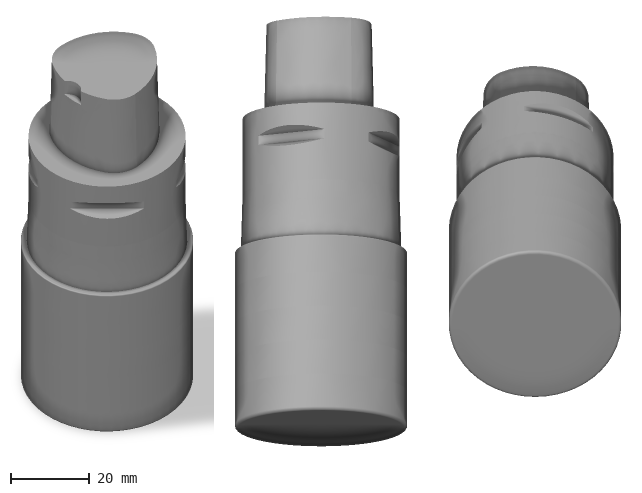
import cadquery as cq
import math

TAPER_LENGTH = 24.0
TAPER_WIDTH = 28.0
TAPER_RATIO = 1 / 20
LOBE_CENTRE = 6.6

NOTCH_RADIUS = 3.5
NOTCH_FLOOR_Y = -10.8
NOTCH_DEPTH = 4.4

COLLAR_RADIUS = 20.0
COLLAR_LENGTH = 20.0
NECK_END_RADIUS = 20.45
NECK_BOTTOM = -34.75

SLOT_COUNT = 4
SLOT_FIRST_ANGLE = 45.0
SLOT_Z = -8.1
SLOT_FLOOR_RADIUS = 17.7
SLOT_FLOOR_HEIGHT = 2.35
SLOT_FLANK_ANGLE = 32.0

TOTAL_LENGTH = 104.51
RING_COUNT = 5
RING_RADIUS = 21.965
RING_PITCH = 8.84
BOTTOM_RING_HEIGHT = 9.4
TOP_RADIUS = 0.3
BOTTOM_RADIUS = 0.8

RINGS_BOTTOM = TAPER_LENGTH - TOTAL_LENGTH


def polar(radius, angle):
    return (radius * math.cos(math.radians(angle)), radius * math.sin(math.radians(angle)))


def lobe_point(lobe_angle, lobe_radius, direction):
    """Point on a lobe arc, in the given direction from the centre of that arc."""
    centre = polar(LOBE_CENTRE, lobe_angle)
    reach = polar(lobe_radius, direction)
    return (centre[0] + reach[0], centre[1] + reach[1])


def taper_outline(width, z):
    """Closed outline of three lobe arcs joined smoothly by three broad arcs."""
    lobe_radius = (width - LOBE_CENTRE * math.sqrt(3)) / 2
    broad_reach = width - lobe_radius - LOBE_CENTRE
    outline = cq.Workplane("XY", origin=(0, 0, z)).moveTo(*lobe_point(90, lobe_radius, 60))
    for lobe in (90, 210, 330):
        outline = outline.threePointArc(
            lobe_point(lobe, lobe_radius, lobe), lobe_point(lobe, lobe_radius, lobe + 30)
        )
        outline = outline.threePointArc(
            polar(broad_reach, lobe + 60), lobe_point(lobe + 120, lobe_radius, lobe + 90)
        )
    return outline.close().val()


def make_taper():
    end_width = TAPER_WIDTH - TAPER_RATIO * TAPER_LENGTH
    base = taper_outline(TAPER_WIDTH, 0)
    end = taper_outline(end_width, TAPER_LENGTH)
    taper = cq.Workplane(cq.Solid.makeLoft([base, end], True))
    notch = (
        cq.Workplane("XY", origin=(0, 0, TAPER_LENGTH - NOTCH_DEPTH))
        .center(0, NOTCH_FLOOR_Y - NOTCH_RADIUS)
        .circle(NOTCH_RADIUS)
        .extrude(NOTCH_DEPTH)
    )
    return taper.cut(notch)


def make_gripper_slot(angle):
    """Straight slot across the collar, with a flat floor and flanks that open outwards."""
    floor_half = SLOT_FLOOR_HEIGHT / 2
    depth = COLLAR_RADIUS - SLOT_FLOOR_RADIUS
    mouth_half = floor_half + depth * math.tan(math.radians(SLOT_FLANK_ANGLE))
    return (
        cq.Workplane("XZ")
        .moveTo(SLOT_FLOOR_RADIUS, SLOT_Z - floor_half)
        .lineTo(COLLAR_RADIUS, SLOT_Z - mouth_half)
        .lineTo(COLLAR_RADIUS, SLOT_Z + mouth_half)
        .lineTo(SLOT_FLOOR_RADIUS, SLOT_Z + floor_half)
        .close()
        .extrude(COLLAR_RADIUS, both=True)
        .rotate((0, 0, 0), (0, 0, 1), angle)
    )


def make_holder():
    """Tool holder: polygon taper, collar with gripper slots and a slightly flared neck."""
    collar_and_neck = (
        cq.Workplane("XZ")
        .lineTo(COLLAR_RADIUS, 0)
        .lineTo(COLLAR_RADIUS, -COLLAR_LENGTH)
        .lineTo(NECK_END_RADIUS, NECK_BOTTOM)
        .lineTo(0, NECK_BOTTOM)
        .close()
        .revolve(360, (0, 0), (0, 1))
    )
    holder = collar_and_neck.union(make_taper())
    for index in range(SLOT_COUNT):
        holder = holder.cut(make_gripper_slot(SLOT_FIRST_ANGLE + index * 360 / SLOT_COUNT))
    return holder


def ring_bottom(index):
    """Z of the lower face of a ring, counted from the bottom."""
    if index == 0:
        return RINGS_BOTTOM
    return RINGS_BOTTOM + BOTTOM_RING_HEIGHT + (index - 1) * RING_PITCH


def make_cutter_ring(index):
    """One ring; the lowest has a rounded lower rim and the highest a rounded upper rim."""
    bottom = ring_bottom(index)
    top = NECK_BOTTOM if index == RING_COUNT - 1 else ring_bottom(index + 1)
    ring = cq.Workplane("XY", origin=(0, 0, bottom)).circle(RING_RADIUS).extrude(top - bottom)
    if index == 0:
        ring = ring.faces("<Z").edges().fillet(BOTTOM_RADIUS)
    if index == RING_COUNT - 1:
        ring = ring.faces(">Z").edges().fillet(TOP_RADIUS)
    return ring


holder = make_holder()
cutter_rings = [make_cutter_ring(index) for index in range(RING_COUNT)]

result = cq.Compound.makeCompound([holder.val(), *[ring.val() for ring in cutter_rings]])